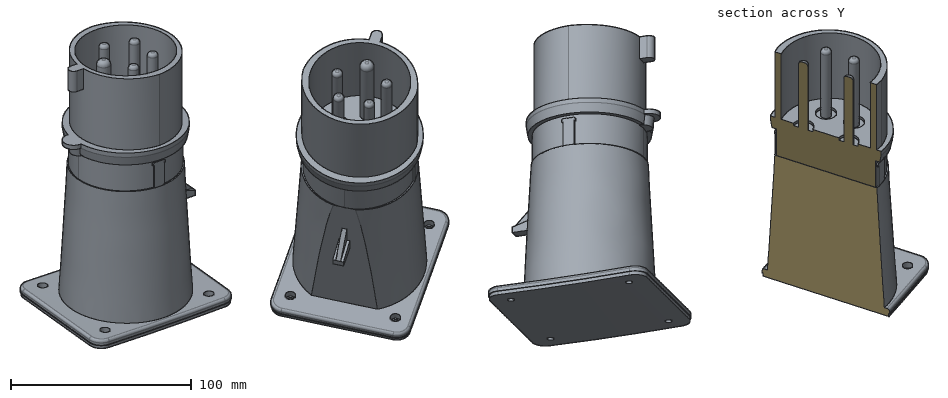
import cadquery as cq
import math

PLATE_LENGTH_X = 80.0
PLATE_LENGTH_Y = 94.0
PLATE_CORNER_RADIUS = 7.9
PLATE_SAG = 0.6
PLATE_THICKNESS = 5.5
PLATE_TOP_FILLET = 1.6
PLATE_SKIRT_HEIGHT = 2.0
PLATE_SKIRT_INSET = 0.5
HOLE_SPACING_X = 60.2
HOLE_SPACING_Y = 70.0
HOLE_RADIUS = 1.9
COUNTERBORE_RADIUS = 2.8
COUNTERBORE_FLOOR_Z = 1.9

TOWER_TOP_Z = 86.9
TOWER_BASE_RADIUS = 37.2
TOWER_TOP_RADIUS = 32.5
TOWER_BACK_Y = 31.8

LATCH_BOTTOM_Z = 52.5
LATCH_ROOT_Y = 25.3
LATCH_TIP_Y = 44.8
LATCH_TIP_Z = 55.9
LATCH_SHELF_WIDTH = 6.2
LATCH_SHELF_ROOT_Z = 59.4
LATCH_RIDGE_WIDTH = 2.8
LATCH_RIDGE_ROOT_Z = 68.7

PLUG_TOP_Z = 158.3
NECK_HALF_WIDTH_X = 31.5
NECK_HALF_WIDTH_Y = 32.0
FLANGE_RADIUS = 35.1
FLANGE_BOTTOM_RADIUS = 34.2
FLANGE_TOP_Z = 113.0
FLANGE_LIP_Z = 110.3
FLANGE_BOTTOM_Z = 105.0
SLEEVE_HALF_WIDTH_X = 32.5
SLEEVE_HALF_WIDTH_Y = 30.9
CAVITY_RADIUS = 28.2
CAVITY_FLOOR_Z = FLANGE_TOP_Z

KEY_CENTRE_Y = -35.1
KEY_RADIUS = 3.2
KEY_LENGTH = 13.1
TAB_RADIUS = 6.3
BOSS_CENTRE_Y = -31.8
BOSS_TOP_RADIUS = 6.0
BOSS_BOTTOM_Z = 104.5

RIB_OUTER_X = 32.5
RIB_WIDTH = 6.6
RIB_TOP_Z = 103.0
RIB_HEAD_WIDTH = 8.2
RIB_HEAD_HEIGHT = 1.9
RIB_HEAD_BEVEL_HEIGHT = 0.8

PIN_CIRCLE_RADIUS = 14.9
PIN_COUNT = 5
PIN_TOP_Z = 157.4
PIN_RADIUS = 3.0
EARTH_PIN_RADIUS = 4.0
PIN_TIP_FLAT_RADIUS = 1.0
PIN_RECESS_RADIUS = 5.9
PIN_RECESS_DEPTH = 1.6
PIN_BOTTOM_Z = CAVITY_FLOOR_Z - PIN_RECESS_DEPTH


def cylinder(radius, bottom_z, top_z, x=0, y=0):
    return cq.Workplane("XY", origin=(x, y, bottom_z)).circle(radius).extrude(top_z - bottom_z)


def cone(bottom_radius, top_radius, bottom_z, top_z, y=0):
    return (
        cq.Workplane("XY", origin=(0, y, bottom_z))
        .circle(bottom_radius)
        .workplane(offset=top_z - bottom_z)
        .circle(top_radius)
        .loft()
    )


def bowed_slab(bottom_z, top_z):
    """Slab reaching past the plate's edges, sagging along Y; the heights are those midway along Y."""
    plate_end_y = PLATE_LENGTH_Y / 2
    bow_radius = (plate_end_y**2 + PLATE_SAG**2) / (2 * PLATE_SAG)
    end_y = PLATE_LENGTH_Y
    end_rise = bow_radius - math.sqrt(bow_radius**2 - end_y**2)
    return (
        cq.Workplane("YZ")
        .moveTo(-end_y, bottom_z + end_rise)
        .threePointArc((0, bottom_z), (end_y, bottom_z + end_rise))
        .lineTo(end_y, top_z + end_rise)
        .threePointArc((0, top_z), (-end_y, top_z + end_rise))
        .close()
        .extrude(PLATE_LENGTH_X, both=True)
    )


def plate_block(height, inset=0):
    """Block on Z = 0 with the plate's rounded outline, set in all round by the inset."""
    return (
        cq.Workplane("XY")
        .box(PLATE_LENGTH_X - 2 * inset, PLATE_LENGTH_Y - 2 * inset, height, centered=(True, True, False))
        .edges("|Z")
        .fillet(PLATE_CORNER_RADIUS - inset)
    )


def make_plate():
    block_top_z = PLATE_THICKNESS + PLATE_SAG
    upper = plate_block(block_top_z).intersect(bowed_slab(PLATE_SKIRT_HEIGHT, PLATE_THICKNESS))
    upper = upper.faces(">Z").edges().fillet(PLATE_TOP_FILLET)

    skirt_top_z = PLATE_SKIRT_HEIGHT + PLATE_SAG
    skirt = plate_block(skirt_top_z, PLATE_SKIRT_INSET).intersect(bowed_slab(0, PLATE_SKIRT_HEIGHT))
    return upper.union(skirt)


def cut_mounting_holes(body):
    top_z = PLATE_THICKNESS + PLATE_SAG
    for x in (-HOLE_SPACING_X / 2, HOLE_SPACING_X / 2):
        for y in (-HOLE_SPACING_Y / 2, HOLE_SPACING_Y / 2):
            body = body.cut(cylinder(HOLE_RADIUS, 0, top_z, x, y))
            body = body.cut(cylinder(COUNTERBORE_RADIUS, COUNTERBORE_FLOOR_Z, top_z, x, y))
    return body


def make_tower():
    foot_z = PLATE_SKIRT_HEIGHT + PLATE_SAG
    tower = cone(TOWER_BASE_RADIUS, TOWER_TOP_RADIUS, foot_z, TOWER_TOP_Z)
    behind = cq.Workplane("XY", origin=(0, TOWER_BACK_Y, 0)).box(
        2 * TOWER_BASE_RADIUS, TOWER_BASE_RADIUS, TOWER_TOP_Z, centered=(True, False, False)
    )
    return tower.cut(behind)


def latch_wedge(width, root_z):
    """Wedge rooted inside the tower, rising from the latch tip to the given height at the tower's back."""
    return (
        cq.Workplane("YZ")
        .polyline([
            (LATCH_ROOT_Y, LATCH_BOTTOM_Z),
            (LATCH_TIP_Y, LATCH_BOTTOM_Z),
            (LATCH_TIP_Y, LATCH_TIP_Z),
            (TOWER_BACK_Y, root_z),
            (LATCH_ROOT_Y, root_z),
        ])
        .close()
        .extrude(width / 2, both=True)
    )


def make_housing():
    body = cut_mounting_holes(make_plate())
    body = body.union(make_tower())
    body = body.union(latch_wedge(LATCH_SHELF_WIDTH, LATCH_SHELF_ROOT_Z))
    return body.union(latch_wedge(LATCH_RIDGE_WIDTH, LATCH_RIDGE_ROOT_Z))


def make_flange():
    draft_cone = cone(FLANGE_BOTTOM_RADIUS, FLANGE_RADIUS, FLANGE_BOTTOM_Z, FLANGE_LIP_Z)
    lip = cylinder(FLANGE_RADIUS, FLANGE_LIP_Z, FLANGE_TOP_Z)
    tab = cylinder(TAB_RADIUS, FLANGE_LIP_Z, FLANGE_TOP_Z, y=KEY_CENTRE_Y)
    boss_bottom_radius = BOSS_TOP_RADIUS - (FLANGE_RADIUS - FLANGE_BOTTOM_RADIUS)
    boss = cone(boss_bottom_radius, BOSS_TOP_RADIUS, BOSS_BOTTOM_Z, FLANGE_LIP_Z, BOSS_CENTRE_Y)
    return draft_cone.union(lip).union(tab).union(boss)


def make_neck():
    """Neck whose outside is two arcs, left and right, that meet in a faint edge at front and back."""
    return (
        cq.Workplane("XY", origin=(0, 0, TOWER_TOP_Z))
        .moveTo(0, -NECK_HALF_WIDTH_Y)
        .threePointArc((-NECK_HALF_WIDTH_X, 0), (0, NECK_HALF_WIDTH_Y))
        .threePointArc((NECK_HALF_WIDTH_X, 0), (0, -NECK_HALF_WIDTH_Y))
        .close()
        .extrude(FLANGE_TOP_Z - TOWER_TOP_Z)
    )


def make_sleeve():
    """Sleeve whose outside is two arcs, front and back, that meet in a faint edge on each side."""
    key_bottom_z = PLUG_TOP_Z - KEY_LENGTH
    sleeve = (
        cq.Workplane("XY", origin=(0, 0, FLANGE_TOP_Z))
        .moveTo(-SLEEVE_HALF_WIDTH_X, 0)
        .threePointArc((0, SLEEVE_HALF_WIDTH_Y), (SLEEVE_HALF_WIDTH_X, 0))
        .threePointArc((0, -SLEEVE_HALF_WIDTH_Y), (-SLEEVE_HALF_WIDTH_X, 0))
        .close()
        .extrude(PLUG_TOP_Z - FLANGE_TOP_Z)
    )
    key_web = cq.Workplane("XY", origin=(0, KEY_CENTRE_Y, key_bottom_z)).box(
        2 * KEY_RADIUS, -KEY_CENTRE_Y, KEY_LENGTH, centered=(True, False, False)
    )
    key_nose = cylinder(KEY_RADIUS, key_bottom_z, PLUG_TOP_Z, y=KEY_CENTRE_Y)
    cavity = cylinder(CAVITY_RADIUS, CAVITY_FLOOR_Z, PLUG_TOP_Z)
    return sleeve.union(key_web).union(key_nose).cut(cavity)


def snap_rib(side):
    """Rib from the neck's axis out to one side (+1 or -1 along X), with a wider bevelled head."""
    half_stem = RIB_WIDTH / 2
    half_head = RIB_HEAD_WIDTH / 2
    head_bottom_z = RIB_TOP_Z - RIB_HEAD_HEIGHT
    bevel_z = RIB_TOP_Z - RIB_HEAD_BEVEL_HEIGHT
    return (
        cq.Workplane("YZ")
        .polyline([
            (-half_stem, TOWER_TOP_Z),
            (half_stem, TOWER_TOP_Z),
            (half_stem, head_bottom_z),
            (half_head, head_bottom_z),
            (half_head, bevel_z),
            (half_stem, RIB_TOP_Z),
            (-half_stem, RIB_TOP_Z),
            (-half_head, bevel_z),
            (-half_head, head_bottom_z),
            (-half_stem, head_bottom_z),
        ])
        .close()
        .extrude(side * RIB_OUTER_X)
    )


def contact_pin(radius, x, y):
    pin = cylinder(radius, PIN_BOTTOM_Z, PIN_TOP_Z, x, y)
    return pin.faces(">Z").edges().fillet(radius - PIN_TIP_FLAT_RADIUS)


def add_pins(body):
    """Pins evenly spaced on a circle; the first, at -Y, is the thicker earth pin without a recess."""
    for index in range(PIN_COUNT):
        angle = math.radians(-90 + index * 360 / PIN_COUNT)
        x = PIN_CIRCLE_RADIUS * math.cos(angle)
        y = PIN_CIRCLE_RADIUS * math.sin(angle)
        if index == 0:
            body = body.union(contact_pin(EARTH_PIN_RADIUS, x, y))
        else:
            body = body.cut(cylinder(PIN_RECESS_RADIUS, PIN_BOTTOM_Z, CAVITY_FLOOR_Z, x, y))
            body = body.union(contact_pin(PIN_RADIUS, x, y))
    return body


def make_plug():
    body = make_neck().union(make_flange()).union(make_sleeve())
    for side in (-1, 1):
        body = body.union(snap_rib(side))
    return add_pins(body)


housing = make_housing()
plug = make_plug()
result = cq.Compound.makeCompound([housing.val(), plug.val()])